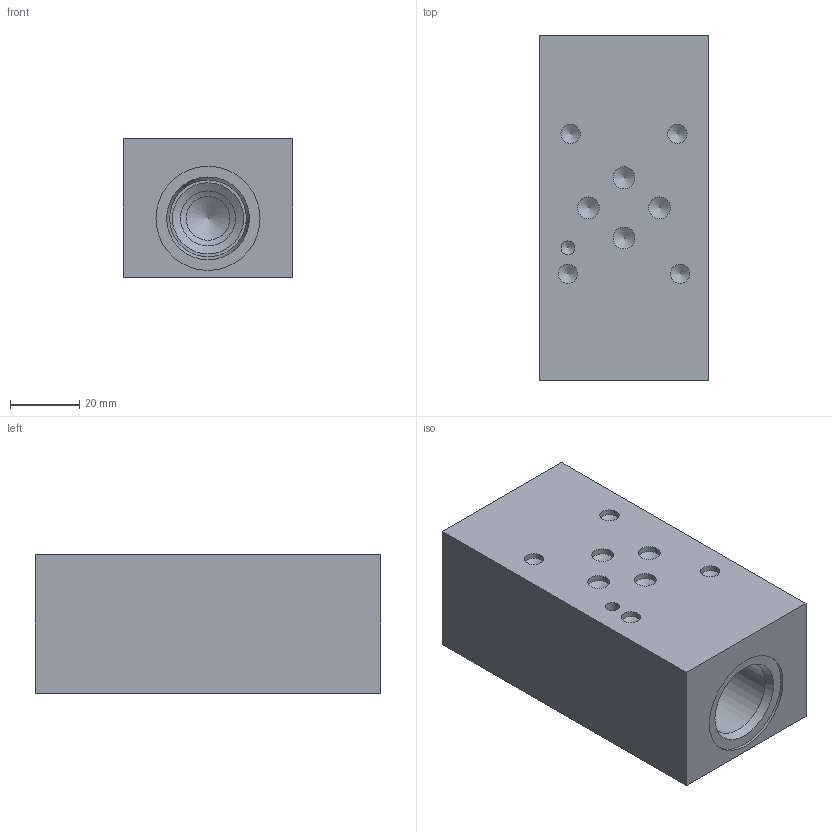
import cadquery as cq
import math

WIDTH = 49.02
LENGTH = 100.08
HEIGHT = 40.13

POINT_ANGLE = 118.0

BOLT_ROW_PITCH = 40.5
BACK_BOLT_SPAN = 30.94
FRONT_BOLT_SPAN = 32.5
BOLT_DIAMETER = 5.56
BOLT_DEPTH = 1.7

PORT_DIAMETER = 6.35
PORT_DEPTH = 1.8
SIDE_PORT_X = 10.31
BACK_PORT_OFFSET = 12.7
SIDE_PORT_OFFSET = 21.43
FRONT_PORT_OFFSET = 30.16

BACK_ROW_Y = SIDE_PORT_OFFSET

PIN_DIAMETER = 3.96
PIN_DEPTH = 4.0
PIN_OFFSET = 33.0

CAVITY_Z = 17.06
SPOTFACE_DIAMETER = 30.16
SPOTFACE_DEPTH = 0.8
SEAT_MOUTH_DIAMETER = 24.0
THREAD_DIAMETER = 22.23
SEAT_DEPTH = 3.3
THREAD_DEPTH = 19.0
BORE_DIAMETER = 20.62
BORE_DEPTH = 28.0
STEP_DIAMETER = 15.9
STEP_LENGTH = 6.0
TIP_DIAMETER = 12.7
TIP_LENGTH = 6.0


def point_length(large_diameter, small_diameter=0.0):
    """Axial length of a drill-point cone between two diameters."""
    return (large_diameter - small_diameter) / 2 / math.tan(math.radians(POINT_ANGLE / 2))


def drilled_hole(x, y, diameter, depth):
    """Blind hole with a conical bottom, drilled down from the top face."""
    radius = diameter / 2
    return (
        cq.Workplane("XZ")
        .moveTo(0, 0)
        .lineTo(radius, 0)
        .lineTo(radius, -depth)
        .lineTo(0, -depth - point_length(diameter))
        .close()
        .revolve(360, (0, 0), (0, 1))
        .translate((x, y, HEIGHT))
    )


def cut_mounting_pattern(block):
    """Bolt holes, valve ports and locating pin hole in the top face."""
    front_row_y = BACK_ROW_Y - BOLT_ROW_PITCH
    for side in (-1, 1):
        back_x = side * BACK_BOLT_SPAN / 2
        front_x = side * FRONT_BOLT_SPAN / 2
        block = block.cut(drilled_hole(back_x, BACK_ROW_Y, BOLT_DIAMETER, BOLT_DEPTH))
        block = block.cut(drilled_hole(front_x, front_row_y, BOLT_DIAMETER, BOLT_DEPTH))

    ports = [
        (0, BACK_PORT_OFFSET),
        (-SIDE_PORT_X, SIDE_PORT_OFFSET),
        (SIDE_PORT_X, SIDE_PORT_OFFSET),
        (0, FRONT_PORT_OFFSET),
    ]
    for x, offset in ports:
        block = block.cut(drilled_hole(x, BACK_ROW_Y - offset, PORT_DIAMETER, PORT_DEPTH))

    pin_x = -FRONT_BOLT_SPAN / 2
    return block.cut(drilled_hole(pin_x, BACK_ROW_Y - PIN_OFFSET, PIN_DIAMETER, PIN_DEPTH))


def cut_cavity(block):
    """Stepped cavity: spotface, tapered seal seat, thread bore and drilled steps."""
    step_start = BORE_DEPTH + point_length(BORE_DIAMETER, STEP_DIAMETER)
    step_end = step_start + STEP_LENGTH
    tip_start = step_end + point_length(STEP_DIAMETER, TIP_DIAMETER)
    tip_end = tip_start + TIP_LENGTH
    cavity = (
        cq.Workplane("XY")
        .moveTo(0, 0)
        .lineTo(SPOTFACE_DIAMETER / 2, 0)
        .lineTo(SPOTFACE_DIAMETER / 2, SPOTFACE_DEPTH)
        .lineTo(SEAT_MOUTH_DIAMETER / 2, SPOTFACE_DEPTH)
        .lineTo(THREAD_DIAMETER / 2, SEAT_DEPTH)
        .lineTo(THREAD_DIAMETER / 2, THREAD_DEPTH)
        .lineTo(BORE_DIAMETER / 2, THREAD_DEPTH)
        .lineTo(BORE_DIAMETER / 2, BORE_DEPTH)
        .lineTo(STEP_DIAMETER / 2, step_start)
        .lineTo(STEP_DIAMETER / 2, step_end)
        .lineTo(TIP_DIAMETER / 2, tip_start)
        .lineTo(TIP_DIAMETER / 2, tip_end)
        .lineTo(0, tip_end + point_length(TIP_DIAMETER))
        .close()
        .revolve(360, (0, 0), (0, 1))
        .translate((0, -LENGTH / 2, CAVITY_Z))
    )
    return block.cut(cavity)


block = cq.Workplane("XY").box(WIDTH, LENGTH, HEIGHT, centered=(True, True, False))
result = cut_cavity(cut_mounting_pattern(block))